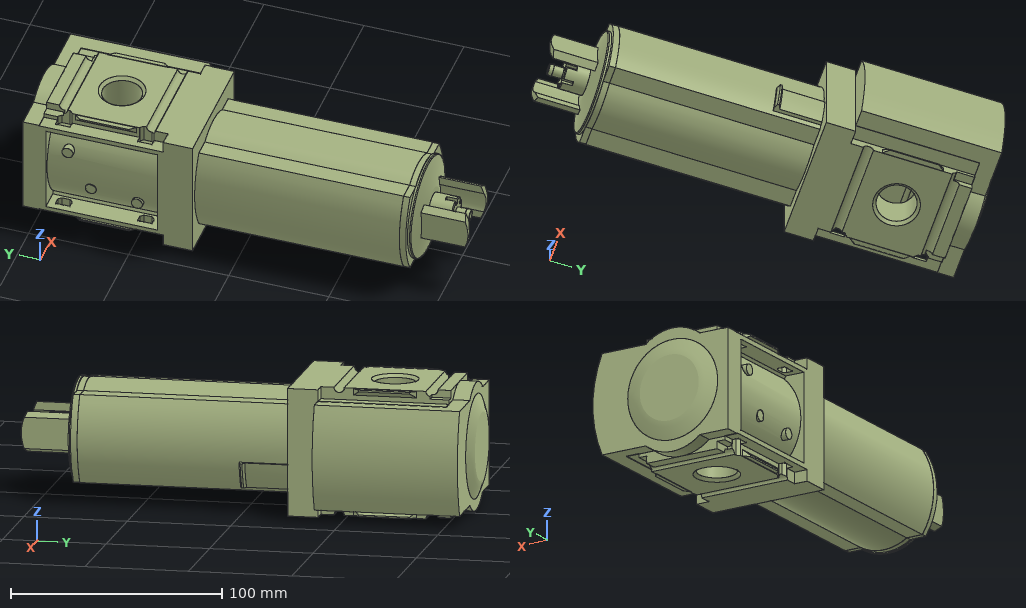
import cadquery as cq
import math


HALF_WIDTH = 31.0
HOUSING_FRONT = -45.7
HOUSING_BACK = 39.2
FRAME_REACH = 31.0
SHOULDER_Z = 25.5
CORNER_Z = 25.2

BLOCK_HALF_X = 24.0
GROOVE_Y = 22.2
GROOVE_RADIUS = 2.45
NOTCH_INNER_X = 19.75
NOTCH_FRONT_Y = 21.8
NOTCH_FLOOR_Z = 27.3
RAIL_REACH = 2.5
RAIL_HALF_ROOT = 15.3
RAIL_HALF_TIP = 12.3
RAIL_BOTTOM_Z = 27.6
RAIL_TIP_Z = 29.9
RAIL_TOP_Z = 30.7
PORT_DIAMETER = 19.4
PORT_RIM_DIAMETER = 22.6
PORT_DEPTH = 20.0

LOBE_HALF_CHORD = 15.2
DOME_DIAMETER = 50.36
DOME_FLAT_DIAMETER = 33.0
DOME_HEIGHT = 2.83
DOME_BULGE_HEIGHT = 1.85

COVER_EDGE_X = 39.6
COVER_CROWN_X = 44.8

POCKET_BACK_Y = 27.6
POCKET_FRONT_Y = -28.1
POCKET_HALF_Z = 22.8
POCKET_FLOOR_HALF_Z = 21.4
CORE_RADIUS = 29.3
POCKET_WALL_END_X = -20.9
PIN_DIAMETER = 5.5
CROWN_PIN_CENTRES = [(17.4, 11.0), (-17.3, -10.9)]
SUNK_PIN_CENTRE = (6.1, -8.6)
SUNK_PIN_DEPTH = 1.0
WINDOW_INNER_Y = 16.9
WINDOW_OUTER_Y = 24.1
WINDOW_OUTER_X = -27.2
WINDOW_INNER_X = -22.3
WINDOW_CORNER = 1.5

BOWL_FLAT_Z = 21.4
BOWL_FLAT_HALF_X = 21.7
BOWL_SIDE_X = 28.0
TUBE_RADIUS = 25.0
BOWL_SHOULDER_Y = -148.0
BOWL_END_Y = -151.2
BOWL_END_INSET = 0.1
RIM_RADIUS = 25.5
RIM_END_Y = -152.9
RIM_BEVEL = 0.6
CAP_DIAMETER = 50.36
CAP_RING_RADIUS = 10.1
CAP_END_Y = -155.4

BUTTON_TOP_Z = -6.6
BUTTON_BOTTOM_Z = -19.3
BUTTON_THICKNESS = 1.5
BUTTON_LIP = 3.4
BUTTON_END_Y = -66.8
LIP_END_Y = -69.6
LIP_CREST_WIDTH = 0.9

NOZZLE_DIAMETER = 15.0
NOZZLE_END_Y = -167.3
NOZZLE_BEVEL = 0.5
SLOT_COUNT = 6
SLOT_WIDTH = 2.1
SLOT_FLOOR_DIAMETER = 10.0
SLOT_LENGTH = 5.4
SPOUT_DIAMETER = 5.5
SPOUT_BARB_DIAMETER = 6.1
SPOUT_BORE_DIAMETER = 3.8
SPOUT_BARB_Y = -172.2
SPOUT_END_Y = -174.2
SPOUT_TIP_DIAMETER = 5.0
BORE_DEPTH = 12.0

TAB_INNER_X = 11.0
TAB_OUTER_X = 14.7
TAB_INNER_HALF_Z = 9.75
TAB_OUTER_HALF_Z = 7.6
TAB_END_Y = -177.8
TAB_CORNER_Y = -175.5
TAB_CLEARANCE_RADIUS = 12.3
TAB_ROOT_Y = RIM_END_Y


def box(x0, x1, y0, y1, z0, z1):
    return cq.Workplane("XY").box(x1 - x0, y1 - y0, z1 - z0, centered=False).translate((x0, y0, z0))


def along_y(y):
    """Plane at height y whose local axes are X and Z; extruding goes towards -Y."""
    return cq.Workplane("XZ", origin=(0, y, 0))


def turned(*profile):
    """Solid of revolution about Y from (radius, y) points that start and end on the axis."""
    return cq.Workplane("XY").polyline(profile).close().revolve(360, (0, 0), (0, 1))


def both_z(shape):
    return shape.union(shape.mirror("XY"))


def both_x(shape):
    return shape.union(shape.mirror("YZ"))



def side_rail():
    """Rail on the +X side of the port block, bevelled at both ends and undercut below."""
    tip_x = BLOCK_HALF_X + RAIL_REACH
    plan = (
        cq.Workplane("XY")
        .polyline([
            (BLOCK_HALF_X, -RAIL_HALF_ROOT),
            (tip_x, -RAIL_HALF_TIP),
            (tip_x, RAIL_HALF_TIP),
            (BLOCK_HALF_X, RAIL_HALF_ROOT),
        ])
        .close()
        .extrude(HALF_WIDTH)
    )
    section = (
        along_y(RAIL_HALF_ROOT)
        .polyline([
            (BLOCK_HALF_X, RAIL_BOTTOM_Z),
            (tip_x, RAIL_TIP_Z),
            (tip_x, RAIL_TOP_Z),
            (BLOCK_HALF_X, RAIL_TOP_Z),
        ])
        .close()
        .extrude(2 * RAIL_HALF_ROOT)
    )
    return plan.intersect(section)


def port_block():
    """Raised block around the upper port, with grooves, corner notches and side rails."""
    block = box(-BLOCK_HALF_X, BLOCK_HALF_X, -FRAME_REACH, FRAME_REACH, 0, HALF_WIDTH)
    notch = box(NOTCH_INNER_X, BLOCK_HALF_X, NOTCH_FRONT_Y, FRAME_REACH, NOTCH_FLOOR_Z, HALF_WIDTH)
    grooves = (
        cq.Workplane("YZ", origin=(-BLOCK_HALF_X, 0, 0))
        .pushPoints([(-GROOVE_Y, HALF_WIDTH), (GROOVE_Y, HALF_WIDTH)])
        .circle(GROOVE_RADIUS)
        .extrude(2 * BLOCK_HALF_X)
    )
    return block.cut(grooves).cut(both_x(notch)).union(both_x(side_rail()))


def port():
    """Blind port with a bevelled rim, cut from the upper face."""
    rim_depth = (PORT_RIM_DIAMETER - PORT_DIAMETER) / 2
    hole = (
        cq.Workplane("XY", origin=(0, 0, HALF_WIDTH - PORT_DEPTH))
        .circle(PORT_DIAMETER / 2)
        .extrude(PORT_DEPTH)
    )
    rim = (
        cq.Workplane("XY", origin=(0, 0, HALF_WIDTH))
        .circle(PORT_RIM_DIAMETER / 2)
        .workplane(offset=-rim_depth)
        .circle(PORT_DIAMETER / 2)
        .loft()
    )
    return hole.union(rim)


def back_lobe():
    """Low round rise on the upper side of the back strip."""
    return (
        along_y(HOUSING_BACK)
        .moveTo(-LOBE_HALF_CHORD, SHOULDER_Z)
        .threePointArc((0, HALF_WIDTH), (LOBE_HALF_CHORD, SHOULDER_Z))
        .close()
        .extrude(HOUSING_BACK - FRAME_REACH)
    )


def dome():
    base_radius = DOME_DIAMETER / 2
    flat_radius = DOME_FLAT_DIAMETER / 2
    bulge = (base_radius + flat_radius) / 2
    top = HOUSING_BACK + DOME_HEIGHT
    return (
        cq.Workplane("XY")
        .moveTo(0, FRAME_REACH)
        .lineTo(base_radius, FRAME_REACH)
        .lineTo(base_radius, HOUSING_BACK)
        .threePointArc((bulge, HOUSING_BACK + DOME_BULGE_HEIGHT), (flat_radius, top))
        .lineTo(0, top)
        .close()
        .revolve(360, (0, 0), (0, 1))
    )


def side_cover():
    return (
        along_y(HOUSING_BACK)
        .moveTo(BLOCK_HALF_X, -SHOULDER_Z)
        .lineTo(COVER_EDGE_X, -SHOULDER_Z)
        .threePointArc((COVER_CROWN_X, 0), (COVER_EDGE_X, SHOULDER_Z))
        .lineTo(BLOCK_HALF_X, SHOULDER_Z)
        .close()
        .extrude(HOUSING_BACK + FRAME_REACH)
        .cut(both_z(box(BLOCK_HALF_X, HALF_WIDTH, -FRAME_REACH, FRAME_REACH, CORNER_Z, SHOULDER_Z)))
    )


def side_pocket():
    """Pocket open to -X; its floor is the round core."""
    floor_x = -math.sqrt(CORE_RADIUS**2 - POCKET_FLOOR_HALF_Z**2)
    return (
        along_y(POCKET_BACK_Y)
        .moveTo(-HALF_WIDTH, -POCKET_HALF_Z)
        .lineTo(POCKET_WALL_END_X, -POCKET_HALF_Z)
        .lineTo(floor_x, -POCKET_FLOOR_HALF_Z)
        .threePointArc((-CORE_RADIUS, 0), (floor_x, POCKET_FLOOR_HALF_Z))
        .lineTo(POCKET_WALL_END_X, POCKET_HALF_Z)
        .lineTo(-HALF_WIDTH, POCKET_HALF_Z)
        .close()
        .extrude(POCKET_BACK_Y - POCKET_FRONT_Y)
    )


def pin_rods(centres, end_x):
    """Rods along X whose flat ends stand at end_x."""
    rods = cq.Workplane("YZ", origin=(end_x, 0, 0)).pushPoints(centres).circle(PIN_DIAMETER / 2)
    return rods.extrude(CORE_RADIUS)


def add_pins(body):
    """Two pins reach the crown of the core; the third is sunk and clears the core around it."""
    sunk_end_x = -CORE_RADIUS + SUNK_PIN_DEPTH
    crown_pins = pin_rods(CROWN_PIN_CENTRES, -CORE_RADIUS)
    sunk_clearance = pin_rods([SUNK_PIN_CENTRE], -CORE_RADIUS)
    sunk_pin = pin_rods([SUNK_PIN_CENTRE], sunk_end_x)
    return body.cut(sunk_clearance).union(sunk_pin).union(crown_pins)


def windows():
    """Openings at the -X ends of the upper grooves, straight down into the pocket."""
    corner_x = WINDOW_INNER_X - WINDOW_CORNER
    opening = (
        cq.Workplane("XY", origin=(0, 0, POCKET_FLOOR_HALF_Z))
        .polyline([
            (WINDOW_OUTER_X, WINDOW_INNER_Y),
            (corner_x, WINDOW_INNER_Y),
            (WINDOW_INNER_X, WINDOW_INNER_Y + WINDOW_CORNER),
            (WINDOW_INNER_X, WINDOW_OUTER_Y - WINDOW_CORNER),
            (corner_x, WINDOW_OUTER_Y),
            (WINDOW_OUTER_X, WINDOW_OUTER_Y),
        ])
        .close()
        .extrude(HALF_WIDTH - POCKET_FLOOR_HALF_Z)
    )
    return opening.union(opening.mirror("XZ"))


def make_housing():
    front = box(-HALF_WIDTH, HALF_WIDTH, HOUSING_FRONT, -FRAME_REACH, -HALF_WIDTH, HALF_WIDTH)
    middle = box(-HALF_WIDTH, HALF_WIDTH, -FRAME_REACH, FRAME_REACH, -CORNER_Z, CORNER_Z)
    back = box(-HALF_WIDTH, HALF_WIDTH, FRAME_REACH, HOUSING_BACK, -SHOULDER_Z, SHOULDER_Z)
    body = front.union(middle).union(back).union(side_cover())
    body = body.union(both_z(port_block())).union(both_z(back_lobe())).union(dome())
    body = body.cut(side_pocket()).cut(both_z(windows())).cut(both_z(port()))
    return add_pins(body).clean()



def side_radius():
    """Radius of the round sides of the bowl."""
    rise = BOWL_SIDE_X - BOWL_FLAT_HALF_X
    return (BOWL_FLAT_Z**2 + rise**2) / (2 * rise)


def flat_sided_shell(inset, y_start, y_end):
    """Shell section with flat top and bottom and round sides, shrunk by inset."""
    flat_x = BOWL_FLAT_HALF_X - inset
    flat_z = BOWL_FLAT_Z - inset
    side_x = BOWL_SIDE_X - inset
    return (
        along_y(y_start)
        .moveTo(-flat_x, flat_z)
        .lineTo(flat_x, flat_z)
        .threePointArc((side_x, 0), (flat_x, -flat_z))
        .lineTo(-flat_x, -flat_z)
        .threePointArc((-side_x, 0), (-flat_x, flat_z))
        .close()
        .extrude(y_start - y_end)
    )


def release_button():
    """Curved button on the +X side with a tapered lip across its free end."""
    centre_x = BOWL_SIDE_X - side_radius()
    plate_radius = side_radius() + BUTTON_THICKNESS
    crest_radius = side_radius() + BUTTON_LIP
    lip_middle = (BUTTON_END_Y + LIP_END_Y) / 2
    profile = (
        cq.Workplane("XY", origin=(centre_x, 0, 0))
        .polyline([
            (0, HOUSING_FRONT),
            (plate_radius, HOUSING_FRONT),
            (plate_radius, BUTTON_END_Y),
            (crest_radius, lip_middle + LIP_CREST_WIDTH / 2),
            (crest_radius, lip_middle - LIP_CREST_WIDTH / 2),
            (plate_radius, LIP_END_Y),
            (0, LIP_END_Y),
        ])
        .close()
    )
    ring = profile.revolve(360, (0, 0), (0, 1))
    reach = HALF_WIDTH + BUTTON_LIP
    slab = box(0, reach, LIP_END_Y, HOUSING_FRONT, BUTTON_BOTTOM_Z, BUTTON_TOP_Z)
    return ring.intersect(slab)


def shell():
    barrel = turned(
        (0, HOUSING_FRONT),
        (TUBE_RADIUS, HOUSING_FRONT),
        (TUBE_RADIUS, BOWL_SHOULDER_Y),
        (TUBE_RADIUS - BOWL_END_INSET, BOWL_SHOULDER_Y),
        (TUBE_RADIUS - BOWL_END_INSET, BOWL_END_Y),
        (RIM_RADIUS, BOWL_END_Y),
        (RIM_RADIUS, RIM_END_Y + RIM_BEVEL),
        (CAP_DIAMETER / 2, RIM_END_Y),
        (CAP_RING_RADIUS, CAP_END_Y),
        (0, CAP_END_Y),
    )
    upper = flat_sided_shell(0, HOUSING_FRONT, BOWL_SHOULDER_Y)
    lower = flat_sided_shell(BOWL_END_INSET, BOWL_SHOULDER_Y, BOWL_END_Y)
    return barrel.union(upper).union(lower)


def drain():
    """Slotted nozzle with a bored spout."""
    nozzle = turned(
        (0, RIM_END_Y),
        (NOZZLE_DIAMETER / 2, RIM_END_Y),
        (NOZZLE_DIAMETER / 2, NOZZLE_END_Y + NOZZLE_BEVEL),
        (NOZZLE_DIAMETER / 2 - NOZZLE_BEVEL, NOZZLE_END_Y),
        (0, NOZZLE_END_Y),
    )
    slot = box(
        SLOT_FLOOR_DIAMETER / 2, NOZZLE_DIAMETER,
        NOZZLE_END_Y, NOZZLE_END_Y + SLOT_LENGTH,
        -SLOT_WIDTH / 2, SLOT_WIDTH / 2,
    )
    for index in range(SLOT_COUNT):
        angle = 90 + index * 360 / SLOT_COUNT
        nozzle = nozzle.cut(slot.rotate((0, 0, 0), (0, 1, 0), angle))
    spout = turned(
        (0, NOZZLE_END_Y),
        (SPOUT_DIAMETER / 2, NOZZLE_END_Y),
        (SPOUT_DIAMETER / 2, SPOUT_BARB_Y),
        (SPOUT_BARB_DIAMETER / 2, SPOUT_BARB_Y),
        (SPOUT_TIP_DIAMETER / 2, SPOUT_END_Y),
        (0, SPOUT_END_Y),
    )
    bore = along_y(SPOUT_END_Y + BORE_DEPTH).circle(SPOUT_BORE_DIAMETER / 2).extrude(BORE_DEPTH)
    return nozzle.union(spout).cut(bore)


def guard_tab():
    """Guard tab on the +X side: wedge-edged bar, hollowed around the drain, with a round end."""
    bar = (
        along_y(TAB_ROOT_Y)
        .polyline([
            (TAB_INNER_X, -TAB_INNER_HALF_Z),
            (TAB_OUTER_X, -TAB_OUTER_HALF_Z),
            (TAB_OUTER_X, TAB_OUTER_HALF_Z),
            (TAB_INNER_X, TAB_INNER_HALF_Z),
        ])
        .close()
        .extrude(TAB_ROOT_Y - TAB_END_Y)
    )
    side_outline = (
        cq.Workplane("YZ")
        .moveTo(TAB_ROOT_Y, TAB_INNER_HALF_Z)
        .lineTo(TAB_CORNER_Y, TAB_INNER_HALF_Z)
        .threePointArc((TAB_END_Y, 0), (TAB_CORNER_Y, -TAB_INNER_HALF_Z))
        .lineTo(TAB_ROOT_Y, -TAB_INNER_HALF_Z)
        .close()
        .extrude(TAB_OUTER_X)
    )
    hollow = along_y(TAB_ROOT_Y).circle(TAB_CLEARANCE_RADIUS).extrude(TAB_ROOT_Y - TAB_END_Y)
    return bar.intersect(side_outline).cut(hollow)


def make_bowl():
    return shell().union(release_button()).union(both_x(guard_tab())).union(drain()).clean()


housing = make_housing()
bowl = make_bowl()
result = cq.Compound.makeCompound([housing.solids().val(), bowl.solids().val()])